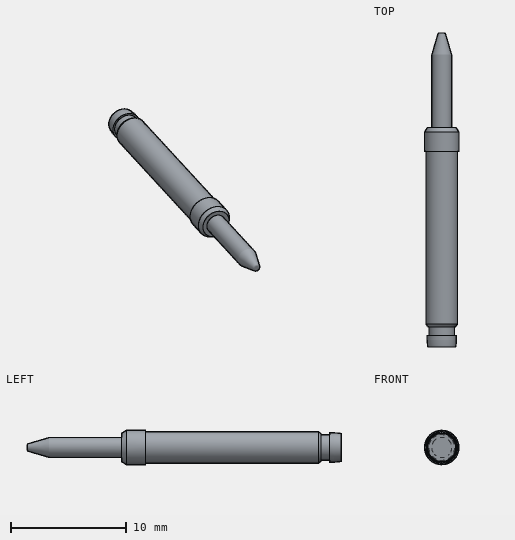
import cadquery as cq

length = 27.3
rear_y = -length / 2
tip_y = length / 2

collar_diameter = 3.0
barrel_diameter = 2.75
groove_diameter = 2.25
end_cap_diameter = 2.57
end_face_diameter = 2.43
plunger_diameter = 1.75
cone_end_diameter = 0.63

end_cap_length = 1.0
end_cap_rounding_length = 0.6
groove_length = 0.75
barrel_chamfer_length = 0.25
barrel_chamfer_depth = 0.2
collar_rear_distance = 17.0
collar_length = 2.07
collar_chamfer_length = 0.4
collar_chamfer_depth = 0.25
cone_length = 1.9
tip_fillet = 0.16

cap_front_y = rear_y + end_cap_length
cap_rounding_y = rear_y + end_cap_rounding_length
barrel_rear_y = cap_front_y + groove_length
collar_rear_y = rear_y + collar_rear_distance
collar_front_y = collar_rear_y + collar_length
cone_base_y = tip_y - cone_length


def turned(profile):
    """Revolve a closed half profile, drawn as (radius, y), around the Y axis."""
    return profile.close().revolve(360, (0, 0, 0), (0, 1, 0))


def cylinder(diameter, start_y, end_y):
    """Solid cylinder along Y between two stations."""
    return turned(
        cq.Workplane("XY")
        .moveTo(0, start_y)
        .lineTo(diameter / 2, start_y)
        .lineTo(diameter / 2, end_y)
        .lineTo(0, end_y)
    )


def end_cap():
    """Rear disc whose side curves inward, tangentially, to the end face."""
    return turned(
        cq.Workplane("XY")
        .moveTo(0, cap_front_y)
        .lineTo(end_cap_diameter / 2, cap_front_y)
        .lineTo(end_cap_diameter / 2, cap_rounding_y)
        .tangentArcPoint((end_face_diameter / 2, rear_y), relative=False)
        .lineTo(0, rear_y)
    )


def barrel():
    """Main tube with a chamfered rear edge."""
    radius = barrel_diameter / 2
    return turned(
        cq.Workplane("XY")
        .moveTo(0, barrel_rear_y)
        .lineTo(radius - barrel_chamfer_depth, barrel_rear_y)
        .lineTo(radius, barrel_rear_y + barrel_chamfer_length)
        .lineTo(radius, collar_rear_y)
        .lineTo(0, collar_rear_y)
    )


def collar():
    """Stop collar with a chamfered front edge."""
    radius = collar_diameter / 2
    return turned(
        cq.Workplane("XY")
        .moveTo(0, collar_rear_y)
        .lineTo(radius, collar_rear_y)
        .lineTo(radius, collar_front_y - collar_chamfer_length)
        .lineTo(radius - collar_chamfer_depth, collar_front_y)
        .lineTo(0, collar_front_y)
    )


def plunger():
    """Slim front shaft ending in a cone with a rounded tip."""
    shaft = turned(
        cq.Workplane("XY")
        .moveTo(0, collar_front_y)
        .lineTo(plunger_diameter / 2, collar_front_y)
        .lineTo(plunger_diameter / 2, cone_base_y)
        .lineTo(cone_end_diameter / 2, tip_y)
        .lineTo(0, tip_y)
    )
    return shaft.faces(">Y").edges().fillet(tip_fillet)


groove_core = cylinder(groove_diameter, cap_front_y, barrel_rear_y)

result = end_cap().union(groove_core).union(barrel()).union(collar()).union(plunger())